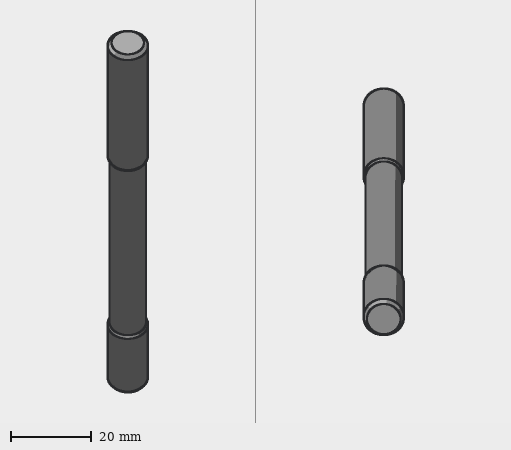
import cadquery as cq

length = 120.0
end_diameter = 30 / 3
shoulder_depth = 0.47
top_end_length = 40.9
bottom_end_length = 20.8
shoulder_height = 0.8
top_chamfer = end_diameter / 10
bottom_chamfer_width = 0.8
bottom_chamfer_height = 1.2

end_radius = end_diameter / 2
shank_radius = end_radius - shoulder_depth
shank_bottom = bottom_end_length
shank_top = length - top_end_length

profile = [
    (0, 0),
    (end_radius - bottom_chamfer_width, 0),
    (end_radius, bottom_chamfer_height),
    (end_radius, shank_bottom - shoulder_height),
    (shank_radius, shank_bottom),
    (shank_radius, shank_top),
    (end_radius, shank_top + shoulder_height),
    (end_radius, length - top_chamfer),
    (end_radius - top_chamfer, length),
    (0, length),
]

result = (
    cq.Workplane("XZ")
    .polyline(profile)
    .close()
    .revolve(360, (0, 0, 0), (0, 1, 0))
)